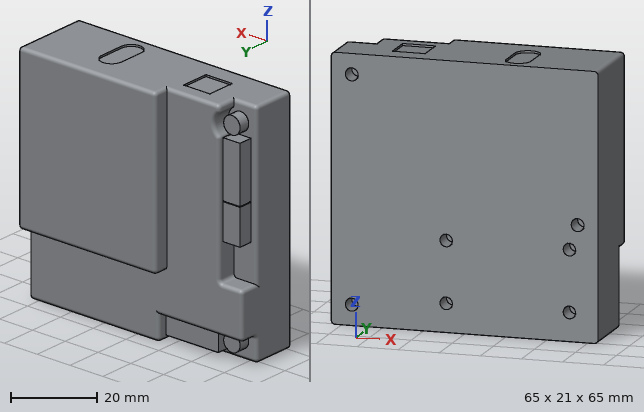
import cadquery as cq
import math

SIDE = 65.0
HEIGHT = 21.0
DECK_Y = 17.0
LEDGE_Y = 11.75
EDGE_RADIUS = 1.0

COVER_X = 23.0
COVER_Z = 19.0
COVER_ROOT_Y = LEDGE_Y

SCREW_INSET = 5.0
LOWER_SCREW = (SCREW_INSET, SCREW_INSET)
UPPER_SCREW = (SCREW_INSET, SIDE - SCREW_INSET)
SCREW_HEAD_DIAMETER = 5.0
SCREW_HEAD_HEIGHT = 3.1

LEDGE_DEPTH = 7.0
LEFT_LEDGE_Z = 20.0

CLEARANCE_RADIUS = 3.7

CONNECTOR_INSET = 1.8
CONNECTOR_TOP_Y = 15.7
LEFT_CONNECTOR_SPANS = [(30.3, 40.4), (40.6, 56.6)]
LOWER_CONNECTOR_SPAN = (8.4, 24.4)
LOWER_LEDGE_X = LOWER_CONNECTOR_SPAN[1] + EDGE_RADIUS

HOLE_DEPTH = 5.0
SCREW_HOLE_DIAMETER = 3.1
SCREW_HOLES = [LOWER_SCREW, UPPER_SCREW, (SIDE - SCREW_INSET, 28.0)]
MOUNT_HOLE_DIAMETER = 3.0
MOUNT_HOLES = [(x, z) for x in (28.0, 58.0) for z in (7.0, 22.0)]

WINDOW_DEPTH = 0.5
SQUARE_SIDE = 8.0
SQUARE_CENTER = (17.3, 9.0)
SLOT_CENTER = (44.0, 8.6)
SLOT_LENGTH = 13.0
SLOT_WIDTH = 6.0


def block(x_span, y_span, z_span):
    """Box between the given pairs of coordinates."""
    spans = (x_span, y_span, z_span)
    sizes = [high - low for low, high in spans]
    corner = tuple(low for low, high in spans)
    return cq.Workplane("XY").box(*sizes, centered=False).translate(corner)


def cylinders(points, diameter, y_start, length):
    """Cylinders along +Y standing on the plane y_start at the given (X, Z) points."""
    plane = cq.Workplane("XZ", origin=(0, y_start, 0))
    return plane.pushPoints(points).circle(diameter / 2).extrude(-length)


def fillet_edge_near(body, point, radius):
    """Round the one edge whose midpoint is nearest to the point."""
    return body.edges(cq.selectors.NearestToPointSelector(point)).fillet(radius)


def cut_ledges(body):
    """Cut the left ledge, the lower ledge and the concave roundings of their ends."""
    recess_y = (LEDGE_Y, DECK_Y)
    mid_y = sum(recess_y) / 2
    body = body.cut(block((0, LEDGE_DEPTH), recess_y, (LEFT_LEDGE_Z, SIDE)))
    body = body.cut(block((0, LOWER_LEDGE_X), recess_y, (0, LEDGE_DEPTH)))
    body = fillet_edge_near(body, (LEDGE_DEPTH, mid_y, LEFT_LEDGE_Z), EDGE_RADIUS)
    return fillet_edge_near(body, (LOWER_LEDGE_X / 2, LEDGE_Y, LEDGE_DEPTH), EDGE_RADIUS)


def cut_screw_clearance(body):
    """Scoop the left ledge wall around the upper screw head and round the scoop's mouth."""
    scoop = cylinders([UPPER_SCREW], 2 * CLEARANCE_RADIUS, LEDGE_Y, DECK_Y - LEDGE_Y)
    body = body.cut(scoop)

    screw_x, screw_z = UPPER_SCREW
    mid_y = (LEDGE_Y + DECK_Y) / 2
    mouth_half_width = math.sqrt(CLEARANCE_RADIUS**2 - (LEDGE_DEPTH - screw_x) ** 2)
    for mouth_z in (screw_z - mouth_half_width, screw_z + mouth_half_width):
        body = fillet_edge_near(body, (LEDGE_DEPTH, mid_y, mouth_z), EDGE_RADIUS)
    return body


def round_outer_edges(body):
    """Round the edges of the four sides and of the deck, leaving the base edges sharp."""
    outline = body.faces("<X or >X or <Z or >Z or >Y").edges("not(<Y)")
    return outline.fillet(EDGE_RADIUS)


def make_cover():
    """Raised block whose outer edges are all rounded."""
    cover = block((COVER_X, SIDE), (COVER_ROOT_Y, HEIGHT), (COVER_Z, SIDE))
    return cover.edges("|Y or >Y").fillet(EDGE_RADIUS)


def make_window_cutter():
    """Square and slot that sink slightly into the top side."""
    top = cq.Workplane("XY", origin=(0, 0, SIDE - WINDOW_DEPTH))
    square = top.center(*SQUARE_CENTER).rect(SQUARE_SIDE, SQUARE_SIDE).extrude(WINDOW_DEPTH)
    slot = top.center(*SLOT_CENTER).slot2D(SLOT_LENGTH, SLOT_WIDTH, 90).extrude(WINDOW_DEPTH)
    return square.union(slot)


def make_connectors():
    """Plug blocks standing on the two ledges, against the ledge walls."""
    connector_y = (LEDGE_Y, CONNECTOR_TOP_Y)
    reach = (CONNECTOR_INSET, LEDGE_DEPTH)
    connectors = block(LOWER_CONNECTOR_SPAN, connector_y, reach)
    for z_span in LEFT_CONNECTOR_SPANS:
        connectors = connectors.union(block(reach, connector_y, z_span))
    return connectors


housing = block((0, SIDE), (0, DECK_Y), (0, SIDE))
housing = cut_ledges(housing)
housing = cut_screw_clearance(housing)
housing = round_outer_edges(housing)

screw_heads = cylinders([LOWER_SCREW, UPPER_SCREW], SCREW_HEAD_DIAMETER, LEDGE_Y, SCREW_HEAD_HEIGHT)

result = housing.union(make_cover()).union(make_connectors()).union(screw_heads)
result = result.cut(cylinders(SCREW_HOLES, SCREW_HOLE_DIAMETER, 0, HOLE_DEPTH))
result = result.cut(cylinders(MOUNT_HOLES, MOUNT_HOLE_DIAMETER, 0, HOLE_DEPTH))
result = result.cut(make_window_cutter())